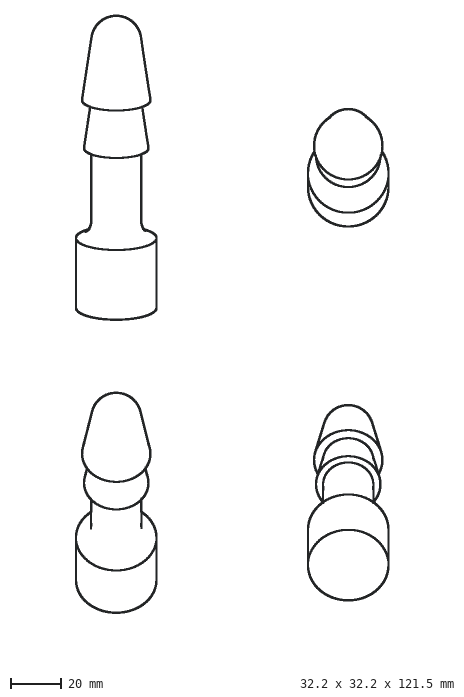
import cadquery as cq
import math

total_height = 121.5
base_height = 29.1
flare_top = 36.1
lower_barb_bottom = 66.5
upper_barb_bottom = 86.6

barb_land = 0.4

base_radius = 32.2 / 2
shaft_radius = 20.0 / 2
lower_barb_radius = 25.7 / 2
upper_barb_radius = 27.3 / 2
dome_radius = shaft_radius

flare_width = base_radius - shaft_radius
flare_height = flare_top - base_height
flare_radius = (flare_width**2 + flare_height**2) / (2 * flare_width)
flare_half_angle = math.asin(flare_height / flare_radius) / 2
flare_middle = (
    shaft_radius + flare_radius * (1 - math.cos(flare_half_angle)),
    flare_top - flare_radius * math.sin(flare_half_angle),
)

dome_center = total_height - dome_radius
dome_rise = dome_center - (upper_barb_bottom + barb_land)
rim_to_center = math.hypot(upper_barb_radius, dome_rise)
taper = math.atan2(upper_barb_radius, dome_rise) - math.asin(dome_radius / rim_to_center)


def dome_point(elevation):
    """Radius and height of a point on the dome at an angle above its centre."""
    return (
        dome_radius * math.cos(elevation),
        dome_center + dome_radius * math.sin(elevation),
    )


profile = (
    cq.Workplane("XZ")
    .moveTo(0, 0)
    .lineTo(base_radius, 0)
    .lineTo(base_radius, base_height)
    .threePointArc(flare_middle, (shaft_radius, flare_top))
    .lineTo(shaft_radius, lower_barb_bottom)
    .lineTo(lower_barb_radius, lower_barb_bottom)
    .lineTo(lower_barb_radius, lower_barb_bottom + barb_land)
    .lineTo(shaft_radius, upper_barb_bottom)
    .lineTo(upper_barb_radius, upper_barb_bottom)
    .lineTo(upper_barb_radius, upper_barb_bottom + barb_land)
    .lineTo(*dome_point(taper))
    .threePointArc(dome_point((taper + math.pi / 2) / 2), (0, total_height))
    .close()
)

result = profile.revolve(360, (0, 0, 0), (0, 1, 0))